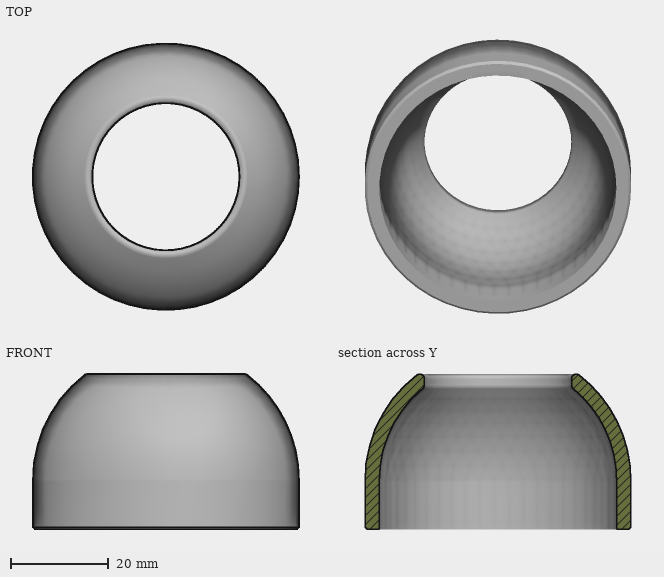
import cadquery as cq
import math

outer_radius = 54.4 / 2
inner_radius = 48.4 / 2
opening_radius = 30.0 / 2
skirt_height = 10.0
rim_radius = 1.0
opening_break = 1.0
base_chamfer = 0.5


def height_on_sphere(sphere_radius, radius):
    """Height above the base of a dome sphere at a given distance from the axis."""
    return skirt_height + math.sqrt(sphere_radius**2 - radius**2)


def point_on_sphere(sphere_radius, angle):
    """Profile point on a dome sphere, with the angle measured up from the horizontal."""
    return (
        sphere_radius * math.cos(angle),
        skirt_height + sphere_radius * math.sin(angle),
    )


def point_on_round(center, radius, angle):
    """Profile point on a corner round."""
    return (
        center[0] + radius * math.cos(angle),
        center[1] + radius * math.sin(angle),
    )


def make_profile():
    """Half section of the wall, in radius and height."""
    rim_center_radius = opening_radius + rim_radius
    rim_center = (
        rim_center_radius,
        height_on_sphere(outer_radius - rim_radius, rim_center_radius),
    )
    rim_angle = math.atan2(rim_center[1] - skirt_height, rim_center[0])
    rim_middle_angle = (rim_angle + math.pi) / 2

    break_center_radius = opening_radius + opening_break
    break_center = (
        break_center_radius,
        height_on_sphere(inner_radius + opening_break, break_center_radius),
    )
    break_angle = math.atan2(break_center[1] - skirt_height, break_center[0])
    break_middle_angle = math.pi + break_angle / 2

    return (
        cq.Workplane("XZ")
        .moveTo(inner_radius, 0)
        .lineTo(outer_radius - base_chamfer, 0)
        .lineTo(outer_radius, base_chamfer)
        .lineTo(outer_radius, skirt_height)
        .threePointArc(
            point_on_sphere(outer_radius, rim_angle / 2),
            point_on_sphere(outer_radius, rim_angle),
        )
        .threePointArc(
            point_on_round(rim_center, rim_radius, rim_middle_angle),
            (opening_radius, rim_center[1]),
        )
        .lineTo(opening_radius, break_center[1])
        .threePointArc(
            point_on_round(break_center, opening_break, break_middle_angle),
            point_on_sphere(inner_radius, break_angle),
        )
        .threePointArc(
            point_on_sphere(inner_radius, break_angle / 2),
            (inner_radius, skirt_height),
        )
        .close()
    )


result = make_profile().revolve(360, (0, 0, 0), (0, 1, 0))